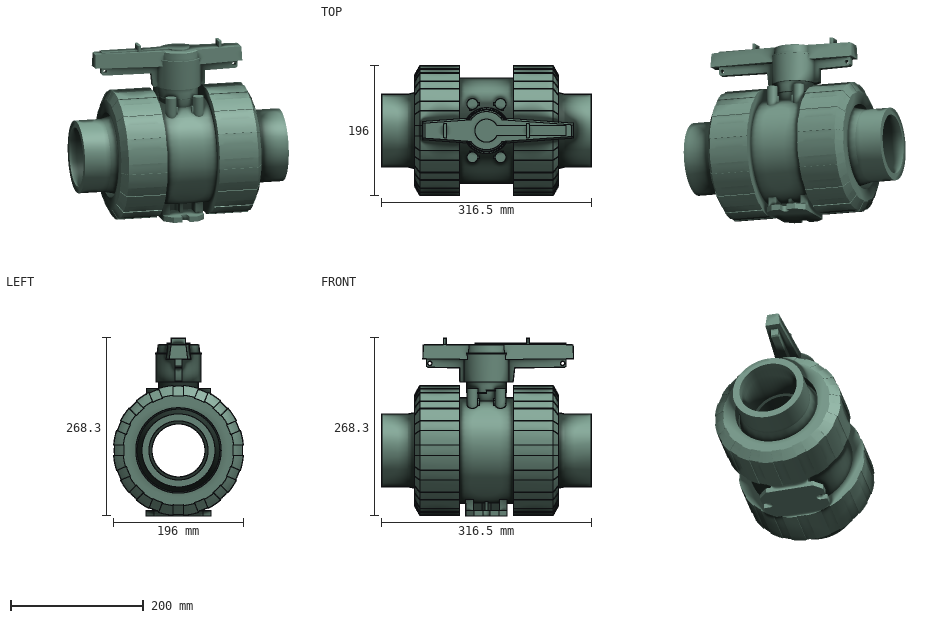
import cadquery as cq
import math


valve_length = 316.5

body_radius = 79.8
port_radius = 40.0
body_half_length = 80.7

nut_inner_x = 40.5
nut_chamfer_x = 100.5
nut_outer_x = 109.0
nut_width = 196.0
ridge_end_radius = 83.5
groove_depth = 1.3
groove_width = 15.8
groove_count = 16
nut_mouth_radius = 64.5

pipe_radius = 55.0
pipe_bore_radius = 44.5
pipe_cone_x = 118.5
cone_base_radius = 62.5
flange_thickness = 6.5

neck_radius = 29.0
stem_radius = 26.5
stop_gap = 1.5
collar_radius = 30.0
collar_bottom_z = 87.7
stop_height = 3.8

post_radius = 8.2
post_x = 21.2
post_y = 40.2
post_top_z = 93.7
post_rib_width = 3.8
post_rib_top_z = 78.5
side_rib_reach = 2.2
inner_rib_reach = 1.3
inner_rib_offset = 3.0

foot_bottom_z = -99.0
foot_plate_thickness = 8.2
foot_half_x = 31.3
foot_half_y = 49.5
foot_corner = 12.7
foot_slot_width = 11.0
foot_slot_y = 40.0
foot_block_width = 11.7
foot_block_half_y = 28.8
foot_web_half_y = 3.8
foot_boss_radius = 7.5
foot_rib_width = 4.7
foot_rib_half_y = 21.2

hub_bottom_z = 103.2
skirt_radius = 34.2
skirt_top_z = 145.3
lip_radius = 34.8
lip_height = 2.0
crown_base_radius = 32.3
crown_edge_radius = 31.0
crown_top_radius = 28.8
crown_edge_drop = 1.0
arm_top_z = 159.8

arm_left_x = -96.2
arm_right_x = 131.7
arm_center_half_width = 21.0
arm_side_slope = 0.072
arm_draft = 3.0
arm_center_bottom_z = 137.0
arm_end_bottom_z = 138.3
arm_end_draft = 0.8
arm_end_chamfer_length = 2.5
arm_end_chamfer_height = 1.0

web_thickness = 11.0
web_left_x = -90.8
web_right_x = 120.3
web_end_bottom_z = 125.3
web_root_bottom_z = 124.5
web_leg_x = 40.5
web_leg_lean = 2.2
web_end_chamfer = 2.2
web_leg_chamfer = 1.3
web_hole_radius = 3.0
web_hole_inset = 5.5
web_hole_z = 131.5

indicator_height = 2.0
indicator_radius = 17.5
indicator_bar_width = 15.2
indicator_end_x = 120.3
tab_inner_x = 60.5
tab_thickness = 4.5
tab_width = 21.8
tab_top_z = 169.3
tab_rounding = 2.0

half_length = valve_length / 2
ridge_radius = math.hypot(nut_width / 2, groove_width / 2)
groove_pitch = 360 / groove_count
flange_outer_x = body_half_length + flange_thickness
neck_low_z = collar_bottom_z - stop_gap
stem_top_z = collar_bottom_z + stop_height
foot_top_z = foot_bottom_z + foot_plate_thickness
lip_top_z = skirt_top_z + lip_height
foot_join_radius = (port_radius + body_radius) / 2
web_top_z = (arm_center_bottom_z + arm_top_z) / 2


def revolve_about_x(outline):
    """Turn an outline of (x, radius) points about the flow axis."""
    return cq.Workplane("XY").polyline(outline).close().revolve(360, (0, 0), (1, 0))


def revolve_about_z(outline):
    """Turn an outline of (radius, z) points about the stem axis."""
    return cq.Workplane("XZ").polyline(outline).close().revolve(360, (0, 0), (0, 1))


def cylinder_x(radius, x_start, x_end):
    return cq.Workplane("YZ", origin=(x_start, 0, 0)).circle(radius).extrude(x_end - x_start)


def cylinder_z(radius, z_bottom, z_top, x=0.0, y=0.0):
    return cq.Workplane("XY", origin=(x, y, z_bottom)).circle(radius).extrude(z_top - z_bottom)


def block(x_range, y_range, z_range):
    """A box given by its (low, high) limits along each axis."""
    size = [high - low for low, high in (x_range, y_range, z_range)]
    corner = (x_range[0], y_range[0], z_range[0])
    return cq.Workplane("XY").box(*size, centered=False).translate(corner)


def stop_quadrant(radius, z_bottom, z_top):
    """A block over the +X, -Y quarter of the stem, in which the stop is stepped up."""
    return block((0, radius), (-radius, 0), (z_bottom, z_top))


def make_neck():
    """Stem neck with its stop step and the narrower stem that enters the handle."""
    neck = cylinder_z(neck_radius, 0, neck_low_z)
    stop = cylinder_z(neck_radius, 0, neck_low_z + stop_height)
    stop = stop.intersect(stop_quadrant(neck_radius, 0, stem_top_z))
    stem = cylinder_z(stem_radius, 0, stem_top_z)
    return neck.union(stop).union(stem)


def make_post(x_side, y_side):
    """One round post with a short rib towards each centre plane."""
    x = post_x * x_side
    y = post_y * y_side
    post = cylinder_z(post_radius, 0, post_top_z, x, y)
    side_rib = (
        cq.Workplane("XY", origin=(x - x_side * (post_radius + side_rib_reach) / 2, y, 0))
        .rect(post_radius + side_rib_reach, post_rib_width)
        .extrude(post_rib_top_z)
    )
    inner_rib_center = (x + x_side * inner_rib_offset, y - y_side * (post_radius + inner_rib_reach) / 2, 0)
    inner_rib = (
        cq.Workplane("XY", origin=inner_rib_center)
        .rect(post_rib_width, post_radius + inner_rib_reach)
        .extrude(post_rib_top_z)
    )
    return post.union(side_rib).union(inner_rib)


def make_foot():
    """Slotted foot plate with the blocks, web, boss and rib that join it to the body."""
    foot = (
        cq.Workplane("XY", origin=(0, 0, foot_bottom_z))
        .rect(2 * foot_half_x, 2 * foot_half_y)
        .extrude(foot_plate_thickness)
        .edges("|Z")
        .chamfer(foot_corner)
    )
    plate_z = (foot_bottom_z, foot_top_z)
    column_z = (foot_top_z, -foot_join_radius)
    for side in (-1, 1):
        slot_end = cylinder_z(foot_slot_width / 2, *plate_z, y=side * foot_slot_y)
        slot_limits = sorted((side * foot_slot_y, side * foot_half_y))
        slot_mouth = block((-foot_slot_width / 2, foot_slot_width / 2), slot_limits, plate_z)
        foot = foot.cut(slot_end).cut(slot_mouth)
        block_limits = sorted((side * foot_half_x, side * (foot_half_x - foot_block_width)))
        foot = foot.union(block(block_limits, (-foot_block_half_y, foot_block_half_y), column_z))
    web = block((-foot_half_x, foot_half_x), (-foot_web_half_y, foot_web_half_y), column_z)
    rib = block((-foot_rib_width / 2, foot_rib_width / 2), (-foot_rib_half_y, foot_rib_half_y), column_z)
    boss = cylinder_z(foot_boss_radius, *column_z)
    return foot.union(web).union(rib).union(boss)


def make_body():
    body = cylinder_x(body_radius, -body_half_length, body_half_length)
    body = body.union(make_neck()).union(make_foot())
    for x_side in (-1, 1):
        for y_side in (-1, 1):
            body = body.union(make_post(x_side, y_side))
    return body.cut(cylinder_x(port_radius, -body_half_length, body_half_length))


def nut_blank(radius, end_radius):
    """Solid nut with a conical outer end."""
    return revolve_about_x([
        (nut_inner_x, 0),
        (nut_inner_x, radius),
        (nut_chamfer_x, radius),
        (nut_outer_x, end_radius),
        (nut_outer_x, 0),
    ])


def make_nut():
    core = nut_blank(ridge_radius - groove_depth, ridge_end_radius - groove_depth)
    ridges = nut_blank(ridge_radius, ridge_end_radius)
    for index in range(groove_count):
        groove = block(
            (nut_inner_x, nut_outer_x),
            (-groove_width / 2, groove_width / 2),
            (nut_mouth_radius, ridge_radius + groove_depth),
        )
        ridges = ridges.cut(groove.rotate((0, 0, 0), (1, 0, 0), index * groove_pitch))
    nut = core.union(ridges)
    nut = nut.cut(cylinder_x(nut_mouth_radius, nut_inner_x, nut_outer_x))
    return nut.cut(cylinder_x(body_radius, nut_inner_x, flange_outer_x))


def make_pipe_end():
    """Pipe stub with a cone and a flange that the nut clamps against the body."""
    return revolve_about_x([
        (body_half_length, pipe_bore_radius),
        (body_half_length, body_radius),
        (flange_outer_x, body_radius),
        (flange_outer_x, cone_base_radius),
        (pipe_cone_x, pipe_radius),
        (half_length, pipe_radius),
        (half_length, pipe_bore_radius),
    ])


def make_hub():
    """Skirt, lip and conical crown, with a stop collar recessed for the stem below."""
    hub = revolve_about_z([
        (0, collar_bottom_z),
        (collar_radius, collar_bottom_z),
        (collar_radius, hub_bottom_z),
        (skirt_radius, hub_bottom_z),
        (skirt_radius, skirt_top_z),
        (lip_radius, skirt_top_z),
        (lip_radius, lip_top_z),
        (crown_base_radius, lip_top_z),
        (crown_edge_radius, arm_top_z - crown_edge_drop),
        (crown_top_radius, arm_top_z),
        (0, arm_top_z),
    ])
    hub = hub.cut(stop_quadrant(skirt_radius, collar_bottom_z, stem_top_z))
    return hub.cut(cylinder_z(stem_radius, collar_bottom_z, stem_top_z))


def arm_plan(draft):
    """Plan outline of both arms, narrowing towards their ends."""
    left = arm_center_half_width + arm_side_slope * arm_left_x - draft
    middle = arm_center_half_width - draft
    right = arm_center_half_width - arm_side_slope * arm_right_x - draft
    return [
        (arm_left_x, -left),
        (0, -middle),
        (arm_right_x, -right),
        (arm_right_x, right),
        (0, middle),
        (arm_left_x, left),
    ]


def make_arms():
    """Arms with drafted sides, trimmed to a side outline with sloping ends."""
    arms = (
        cq.Workplane("XY", origin=(0, 0, arm_center_bottom_z))
        .polyline(arm_plan(0))
        .close()
        .workplane(offset=arm_top_z - arm_center_bottom_z)
        .polyline(arm_plan(arm_draft))
        .close()
        .loft(ruled=True)
    )
    shoulder_z = arm_top_z - arm_end_chamfer_height
    top_inset = arm_end_draft + arm_end_chamfer_length
    side_outline = [
        (arm_left_x, arm_end_bottom_z),
        (0, arm_center_bottom_z),
        (arm_right_x, arm_end_bottom_z),
        (arm_right_x - arm_end_draft, shoulder_z),
        (arm_right_x - top_inset, arm_top_z),
        (arm_left_x + top_inset, arm_top_z),
        (arm_left_x + arm_end_draft, shoulder_z),
    ]
    side_prism = (
        cq.Workplane("XZ").polyline(side_outline).close().extrude(arm_center_half_width, both=True)
    )
    return arms.intersect(side_prism)


def make_web():
    """Thin web under the arms, with a leg beside the skirt and a hole at each end."""
    web = (
        cq.Workplane("XZ")
        .moveTo(web_left_x, web_top_z)
        .lineTo(web_left_x, web_end_bottom_z + web_end_chamfer)
        .lineTo(web_left_x + web_end_chamfer, web_end_bottom_z)
        .lineTo(-web_leg_x, web_root_bottom_z)
        .lineTo(-web_leg_x, hub_bottom_z + web_leg_chamfer)
        .lineTo(-web_leg_x + web_leg_chamfer, hub_bottom_z)
        .lineTo(web_leg_x - web_leg_chamfer, hub_bottom_z)
        .lineTo(web_leg_x, hub_bottom_z + web_leg_chamfer)
        .lineTo(web_leg_x + web_leg_lean, web_root_bottom_z)
        .lineTo(web_right_x - web_end_chamfer, web_end_bottom_z)
        .lineTo(web_right_x, web_end_bottom_z + web_end_chamfer)
        .lineTo(web_right_x, web_top_z)
        .close()
        .extrude(web_thickness / 2, both=True)
    )
    holes = (
        cq.Workplane("XZ")
        .pushPoints([(web_left_x + web_hole_inset, web_hole_z), (web_right_x - web_hole_inset, web_hole_z)])
        .circle(web_hole_radius)
        .extrude(web_thickness, both=True)
    )
    return web.cut(holes)


def make_indicator():
    """Raised disc and pointer bar on top of the handle."""
    top_z = arm_top_z + indicator_height
    disc = cylinder_z(indicator_radius, arm_top_z, top_z)
    bar_y = (-indicator_bar_width / 2, indicator_bar_width / 2)
    return disc.union(block((0, indicator_end_x), bar_y, (arm_top_z, top_z)))


def make_tab():
    """Upright tab on the +X arm, rounded on its outer side."""
    tab = block(
        (tab_inner_x, tab_inner_x + tab_thickness),
        (-tab_width / 2, tab_width / 2),
        (arm_top_z, tab_top_z),
    )
    return tab.edges("|Z and >X").fillet(tab_rounding)


def make_handle():
    handle = make_hub().union(make_arms()).union(make_web()).union(make_indicator())
    return handle.union(make_tab()).union(make_tab().mirror("YZ"))


body = make_body()
handle = make_handle()

nuts = []
pipe_ends = []
for turn in (0, 180):
    nuts.append(make_nut().rotate((0, 0, 0), (0, 0, 1), turn))
    pipe_ends.append(make_pipe_end().rotate((0, 0, 0), (0, 0, 1), turn))

result = cq.Compound.makeCompound([
    body.val(),
    handle.val(),
    *[nut.val() for nut in nuts],
    *[pipe_end.val() for pipe_end in pipe_ends],
])